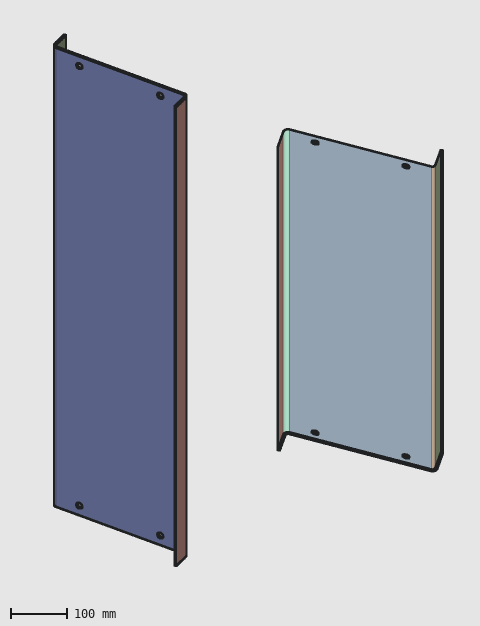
import cadquery as cq

width = 283.0
depth = 80.0
height = 1017.0

thickness = 4.0
outer_bend_radius = 9.0
inner_bend_radius = outer_bend_radius - thickness

hole_diameter = 12.0
hole_spacing_x = 169.0
hole_edge_distance = 21.0
hole_spacing_z = height - 2 * hole_edge_distance


def flange(side):
    """Flange at the left edge (side -1, toward +Y) or right edge (side 1, toward -Y)."""
    length = (depth + thickness) / 2
    return (
        cq.Workplane("XY")
        .box(thickness, length, height)
        .translate((side * (width - thickness) / 2, -side * (depth - length) / 2, 0))
    )


def round_bend(body, side):
    """Round the outside and inside corners where the web meets one flange."""
    outer_corner = (side * width / 2, side * thickness / 2, 0)
    inner_corner = (side * (width / 2 - thickness), -side * thickness / 2, 0)
    body = body.edges(cq.selectors.NearestToPointSelector(inner_corner)).fillet(inner_bend_radius)
    return body.edges(cq.selectors.NearestToPointSelector(outer_corner)).fillet(outer_bend_radius)


panel = cq.Workplane("XY").box(width, thickness, height)
for side in (-1, 1):
    panel = panel.union(flange(side))
panel = panel.clean()

for side in (-1, 1):
    panel = round_bend(panel, side)

holes = (
    cq.Workplane("XZ")
    .rarray(hole_spacing_x, hole_spacing_z, 2, 2)
    .circle(hole_diameter / 2)
    .extrude(thickness, both=True)
)

result = panel.cut(holes)